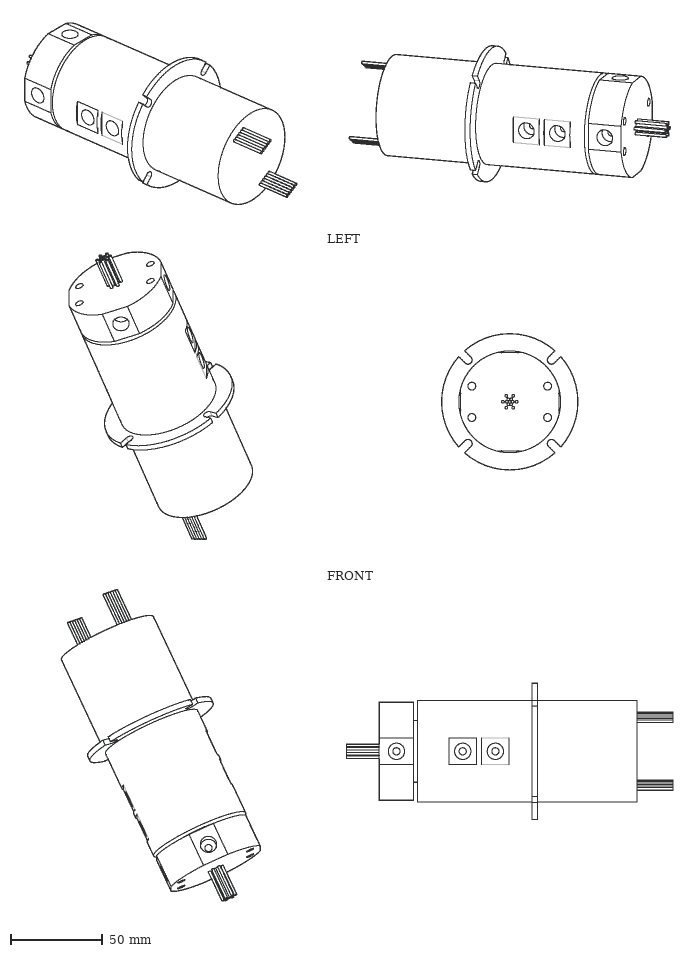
import cadquery as cq
import math

total_length = 179.3

cap_start = 18.0
cap_length = 19.0
collar_length = 2.0
body_length = 120.7
body_start = cap_start + cap_length + collar_length
body_end = body_start + body_length
body_radius = 28.0
collar_radius = 17.0

flange_start = 101.8
flange_thickness = 3.0
flange_radius = 37.5
slot_width = 4.5
slot_center_radius = 32.5
slot_angles = (45, 135, 225, 315)

flat_width = 14.7
flat_distance = math.sqrt(body_radius**2 - (flat_width / 2) ** 2)
pad_length = 15.0
port_radius = 4.5
port_depth = 9.0
port_tip_radius = 2.0
port_cone_depth = port_radius - port_tip_radius
cap_port_x = cap_start + cap_length / 2
front_port_x = 63.8
back_port_x = 54.9
port_pitch = 18.0

screw_hole_radius = 2.2
screw_hole_depth = 9.0
screw_hole_y = 20.8
screw_hole_z = 8.6

wire_radius = 0.75
inner_ring_radius = 1.56
outer_ring_radius = 3.8
wires_per_ring = 6
bundle_circle_radius = 21.5
bundle_angles = (120, 300)
bundle_wire_count = 6
bundle_wire_pitch = 1.69

top_side = 0
front_side = 90
bottom_side = 180
back_side = 270


def cylinder(radius, start, length, y=0.0, z=0.0):
    """Cylinder along +X whose first end is at x = start."""
    return cq.Workplane("YZ", origin=(start, y, z)).circle(radius).extrude(length)


def ring_points(radius, count):
    """Evenly spaced (y, z) points on a circle, the first on the Y axis."""
    angles = [2 * math.pi * i / count for i in range(count)]
    return [(radius * math.cos(a), radius * math.sin(a)) for a in angles]


def wires(points, start, length, z=0.0):
    """Parallel round wires along +X, laid out around the point y = 0 at height z."""
    return cq.Workplane("YZ", origin=(start, 0, z)).pushPoints(points).circle(wire_radius).extrude(length)


def port(x, angle):
    """Cutter for one port in the given direction: round hole with a tapered, blunt bottom."""
    bottom = flat_distance - port_depth
    profile = [
        (0, body_radius),
        (port_radius, body_radius),
        (port_radius, bottom),
        (port_tip_radius, bottom - port_cone_depth),
        (0, bottom - port_cone_depth),
    ]
    hole = cq.Workplane("XZ").polyline(profile).close().revolve(360, (0, 0, 0), (0, 1, 0))
    return hole.rotate((0, 0, 0), (1, 0, 0), angle).translate((x, 0, 0))


def flat(x, length, angle):
    """Cutter that planes a flat centred at x, facing the given direction."""
    block = cq.Workplane("XY", origin=(x, 0, flat_distance)).box(
        length, 2 * body_radius, body_radius, centered=(True, True, False)
    )
    return block.rotate((0, 0, 0), (1, 0, 0), angle)


def screw_hole(y, z):
    """Cutter for a blind drilled hole in the cap face, with a 90 degree conical tip."""
    tip = cq.Solid.makeCone(
        screw_hole_radius,
        0,
        screw_hole_radius,
        pnt=cq.Vector(cap_start + screw_hole_depth, y, z),
        dir=cq.Vector(1, 0, 0),
    )
    return cylinder(screw_hole_radius, cap_start, screw_hole_depth, y, z).union(cq.Workplane(tip))


def flange_slot(angle):
    """Cutter for a round-ended slot that is open at the flange rim."""
    slot_length = flange_radius
    return (
        cq.Workplane("YZ", origin=(flange_start, 0, 0))
        .center(slot_center_radius + slot_length / 2, 0)
        .slot2D(slot_length + slot_width, slot_width)
        .extrude(flange_thickness)
        .rotate((0, 0, 0), (1, 0, 0), angle)
    )


def make_cap():
    """Front cap with a flat and a port on four sides and four screw holes in its face."""
    cap = cylinder(body_radius, cap_start, cap_length)
    for side in (top_side, front_side, bottom_side, back_side):
        cap = cap.cut(flat(cap_port_x, cap_length, side)).cut(port(cap_port_x, side))
    for y in (-screw_hole_y, screw_hole_y):
        for z in (-screw_hole_z, screw_hole_z):
            cap = cap.cut(screw_hole(y, z))
    return cap


def make_body():
    """Main cylinder with two flat pads and ports on the front and on the back."""
    body = cylinder(body_radius, body_start, body_length)
    for side, first_x in ((front_side, front_port_x), (back_side, back_port_x)):
        for x in (first_x, first_x + port_pitch):
            body = body.cut(flat(x, pad_length, side)).cut(port(x, side))
    return body


def make_flange():
    """Round mounting flange with open slots on its diagonals."""
    flange = cylinder(flange_radius, flange_start, flange_thickness)
    for angle in slot_angles:
        flange = flange.cut(flange_slot(angle))
    return flange


def make_front_wires():
    """One centre wire inside two rings of wires."""
    points = [(0, 0)]
    for radius in (inner_ring_radius, outer_ring_radius):
        points += ring_points(radius, wires_per_ring)
    return wires(points, 0, cap_start)


def make_rear_wires(angle):
    """Flat row of wires, square to the radius that points at the given angle from +Y."""
    row_middle = (bundle_wire_count - 1) / 2
    points = [((i - row_middle) * bundle_wire_pitch, 0) for i in range(bundle_wire_count)]
    row = wires(points, body_end, total_length - body_end, z=bundle_circle_radius)
    return row.rotate((0, 0, 0), (1, 0, 0), angle - 90)


collar = cylinder(collar_radius, cap_start + cap_length, collar_length)
result = make_cap().union(collar).union(make_body()).union(make_flange()).union(make_front_wires())
for bundle_angle in bundle_angles:
    result = result.union(make_rear_wires(bundle_angle))